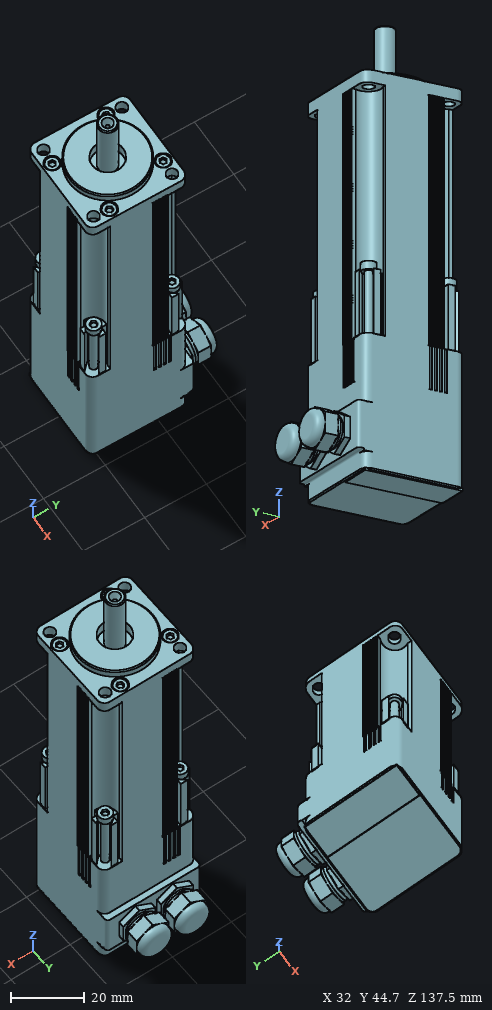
import cadquery as cq
import math

width = 32.0
half_width = width / 2
corner_radius = 2.5

plate_height = 0.4
cover_top = 27.6
block_top = 40.4
lug_top = 59.6
flange_bottom = 113.8
flange_top = 117.5
pilot_top = 120.0
shaft_top = 137.5
cover_chamfer = 0.4

shaft_diameter = 6.0
shaft_chamfer = 0.4
center_hole_diameter = 1.2
center_hole_mouth = 3.4
center_hole_angle = 60
center_hole_depth = 8.0
pilot_diameter = 25.0
pilot_chamfer = 0.4
seal_bore_diameter = 10.0
seal_bore_depth = 3.8
mount_offset = 12.7
mount_hole_diameter = 3.5
flange_screw_x = 7.8
flange_screw_y = 13.0
flange_recess_diameter = 4.8
flange_recess_depth = 1.0
flange_head_diameter = 4.2
flange_head_drop = 0.2
hex_socket_size = 2.0
hex_socket_depth = 1.0
hex_socket_tip = 0.5

scoop_offset = 13.03
scoop_radius = 4.06
scoop_mouth = 14.75
lug_inset = 0.2
lug_notch_wall = 10.7
lug_notch_depth = 2.5
lug_slot_width = 4.0
lug_head_diameter = 4.5
lug_head_height = 2.4
lug_shank_diameter = 2.5

slit_depth = 0.4
housing_slit_start = 4.4
housing_slit_width = 0.42
housing_slit_count = 6
housing_slit_pitch = 0.83
block_slit_start = 4.77
block_slit_width = 0.8
block_slit_count = 4
block_slit_pitch = 1.6

boss_bottom = 6.2
boss_top = 20.1
boss_back = 18.0
boss_edge_radius = 1.1
boss_foot_radius = 0.6
gland_spacing = 12.8
gland_z = 13.2
hex_flats = 10.9
base_hex_length = 1.9
neck_small_radius = 4.7
neck_cone_length = 1.1
neck_rim_length = 0.8
nut_length = 4.2
gland_end = 28.7
nut_rib_height = 0.01
dome_radius = hex_flats / 2 + nut_rib_height
dome_edge_radius = 2.0

plate_x_min = -15.6
plate_x_max = -4.8
plate_half_length = 15.5


def rounded_square(bottom, top):
    """Square prism with rounded vertical edges."""
    prism = cq.Workplane("XY").workplane(offset=bottom).rect(width, width).extrude(top - bottom)
    return prism.edges("|Z").fillet(corner_radius)


def four_turns(shape):
    """The shape and its copies turned about Z onto the other three sides."""
    group = shape
    for turn in range(1, 4):
        group = group.union(shape.rotate((0, 0, 0), (0, 0, 1), 90 * turn))
    return group


def cylinder(x, y, bottom, top, diameter):
    return cq.Workplane("XY").workplane(offset=bottom).center(x, y).circle(diameter / 2).extrude(top - bottom)


def hex_socket(x, y, top):
    plane = cq.Workplane("XY").workplane(offset=top - hex_socket_depth).center(x, y)
    hexagon = plane.polygon(6, hex_socket_size, circumscribed=True).extrude(hex_socket_depth)
    tip = cq.Solid.makeCone(0, hex_socket_size / 2, hex_socket_tip)
    return hexagon.union(cq.Workplane(tip.translate((x, y, top - hex_socket_depth - hex_socket_tip))))


def slits(bottom, top, start, slit_width, count, pitch):
    """Row of vertical slits on all four faces."""
    row = cq.Workplane("XY")
    for index in range(count):
        x = start + index * pitch
        slit = cq.Workplane("XY").box(slit_width, slit_depth, top - bottom, centered=False)
        row = row.add(slit.translate((x, -half_width, bottom)))
    return four_turns(row.combine())


def make_cover():
    cover = rounded_square(plate_height, cover_top).faces("<Z").chamfer(cover_chamfer)
    boss = (
        cq.Workplane("YZ")
        .moveTo(0, boss_bottom - boss_foot_radius)
        .lineTo(half_width, boss_bottom - boss_foot_radius)
        .radiusArc((half_width + boss_foot_radius, boss_bottom), boss_foot_radius)
        .lineTo(boss_back, boss_bottom)
        .lineTo(boss_back, boss_top)
        .lineTo(0, boss_top)
        .close()
        .extrude(half_width, both=True)
        .edges("|Z and >Y")
        .fillet(boss_edge_radius)
    )
    cover = cover.union(boss)
    plate = cq.Workplane("XY").box(
        plate_x_max - plate_x_min, 2 * plate_half_length, 2 * plate_height, centered=(False, True, False)
    )
    return cover.union(plate.translate((plate_x_min, 0, 0)))


def make_gland(x):
    """Hex base, tapered neck, hex nut and rounded end, stacked along +Y."""
    base_end = boss_back + base_hex_length
    cone_end = base_end + neck_cone_length
    nut_start = cone_end + neck_rim_length
    nut_end = nut_start + nut_length
    hex_corners = hex_flats / math.cos(math.pi / 6)

    def hex_prism(start, end):
        prism = cq.Workplane("XY").polygon(6, hex_corners).extrude(end - start)
        prism = prism.rotate((0, 0, 0), (0, 0, 1), 30)
        return prism.rotate((0, 0, 0), (1, 0, 0), -90).translate((0, start, 0))

    core = (
        cq.Workplane("XY")
        .moveTo(0, boss_back)
        .lineTo(neck_small_radius, boss_back)
        .lineTo(neck_small_radius, base_end)
        .lineTo(dome_radius, cone_end)
        .lineTo(dome_radius, gland_end - dome_edge_radius)
        .radiusArc((dome_radius - dome_edge_radius, gland_end), -dome_edge_radius)
        .lineTo(0, gland_end)
        .close()
        .revolve(360, (0, 0, 0), (0, 1, 0))
    )
    gland = core.union(hex_prism(boss_back, base_end)).union(hex_prism(nut_start, nut_end))
    return gland.translate((x, 0, gland_z))


def make_block():
    block = rounded_square(cover_top, block_top)
    return block.cut(
        slits(
            cover_top,
            block_top,
            block_slit_start,
            block_slit_width,
            block_slit_count,
            block_slit_pitch,
        )
    )


def make_scoop():
    """Corner relief along the housing: a round scoop with a square mouth."""
    height = flange_bottom - block_top
    mouth_wall = scoop_offset - math.sqrt(scoop_radius**2 - (scoop_mouth - scoop_offset) ** 2)
    mouth = (
        cq.Workplane("XY")
        .workplane(offset=block_top)
        .moveTo(-scoop_mouth, -mouth_wall)
        .lineTo(-half_width, -mouth_wall)
        .lineTo(-half_width, -half_width)
        .lineTo(-mouth_wall, -half_width)
        .lineTo(-mouth_wall, -scoop_mouth)
        .close()
        .extrude(height)
    )
    return mouth.union(cylinder(-scoop_offset, -scoop_offset, block_top, flange_bottom, 2 * scoop_radius))


def make_lug():
    """Lug filling the lower end of a scoop, with a screw in a slot open towards the corner."""
    outer = half_width - lug_inset
    height = lug_top - block_top
    outer_limit = cq.Workplane("XY").box(outer, outer, height, centered=False)
    outer_limit = outer_limit.translate((-outer, -outer, block_top))
    lug = cylinder(-scoop_offset, -scoop_offset, block_top, lug_top, 2 * scoop_radius).intersect(outer_limit)

    notch_on_y = cq.Workplane("XY").box(lug_notch_wall, lug_notch_depth, height, centered=False)
    notch_on_x = cq.Workplane("XY").box(lug_notch_depth, lug_notch_wall, height, centered=False)
    lug = lug.cut(notch_on_y.translate((-lug_notch_wall, -half_width, block_top)))
    lug = lug.cut(notch_on_x.translate((-half_width, -lug_notch_wall, block_top)))
    slot_run = cq.Workplane("XY").box(half_width, lug_slot_width, height, centered=(False, True, False))
    slot = (
        cylinder(0, 0, 0, height, lug_slot_width)
        .union(slot_run)
        .rotate((0, 0, 0), (0, 0, 1), 225)
        .translate((-mount_offset, -mount_offset, block_top))
    )
    shank = cylinder(-mount_offset, -mount_offset, block_top, lug_top, lug_shank_diameter)
    head_top = lug_top + lug_head_height
    head = cylinder(-mount_offset, -mount_offset, lug_top, head_top, lug_head_diameter)
    head = head.cut(hex_socket(-mount_offset, -mount_offset, head_top))
    return lug.cut(slot).union(shank).union(head)


def make_housing():
    height = flange_bottom - block_top
    housing = cq.Workplane("XY").workplane(offset=block_top).rect(width, width).extrude(height)
    housing = housing.cut(four_turns(make_scoop()))
    housing = housing.cut(
        slits(
            block_top,
            flange_bottom,
            housing_slit_start,
            housing_slit_width,
            housing_slit_count,
            housing_slit_pitch,
        )
    )
    return housing.union(four_turns(make_lug()))


def make_flange_screw_cut():
    recess_bottom = flange_top - flange_recess_depth
    recess = cylinder(flange_screw_x, flange_screw_y, recess_bottom, flange_top, flange_recess_diameter)
    head_top = flange_top - flange_head_drop
    head = cylinder(flange_screw_x, flange_screw_y, recess_bottom, head_top, flange_head_diameter)
    return recess.cut(head).union(hex_socket(flange_screw_x, flange_screw_y, head_top))


def make_flange():
    flange = rounded_square(flange_bottom, flange_top)
    pilot = cylinder(0, 0, flange_top, pilot_top, pilot_diameter).faces(">Z").chamfer(pilot_chamfer)
    mount_hole = cylinder(mount_offset, mount_offset, flange_bottom, flange_top, mount_hole_diameter)
    seal_bore = cylinder(0, 0, pilot_top - seal_bore_depth, pilot_top, seal_bore_diameter)
    flange = flange.cut(four_turns(mount_hole)).cut(four_turns(make_flange_screw_cut()))
    return flange.union(pilot).cut(seal_bore)


def make_shaft():
    shaft = cylinder(0, 0, flange_bottom, shaft_top, shaft_diameter).faces(">Z").chamfer(shaft_chamfer)
    tip = shaft.faces(">Z").workplane()
    return tip.cskHole(center_hole_diameter, center_hole_mouth, center_hole_angle, center_hole_depth)


result = make_cover()
for side in (-1, 1):
    result = result.union(make_gland(side * gland_spacing / 2))
result = result.union(make_block()).union(make_housing()).union(make_flange()).union(make_shaft())